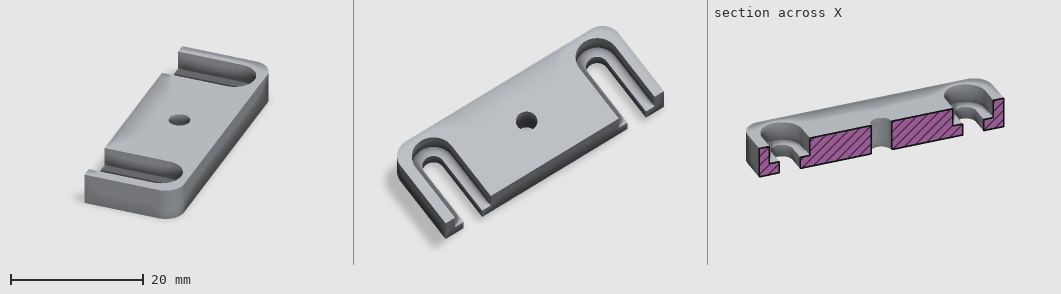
import cadquery as cq

width = 15.0
length = 40.0
thickness = 5.0
corner_radius = 3.0

slot_offset = 15.0
slot_end_center = 10.5 - width / 2
slot_width = 3.4
recess_width = 6.55
recess_depth = 3.0

hole_diameter = 3.3


def open_slot(center_y, slot_size, bottom_z):
    """Round-ended cutter from bottom_z to the top face, running out through the -X side."""
    height = thickness - bottom_z
    run = slot_end_center + width / 2
    straight = cq.Workplane("XY").box(run, slot_size, height, centered=(False, True, False))
    straight = straight.translate((-width / 2, center_y, bottom_z))
    round_end = cq.Workplane("XY").circle(slot_size / 2).extrude(height)
    return straight.union(round_end.translate((slot_end_center, center_y, bottom_z)))


result = cq.Workplane("XY").box(width, length, thickness, centered=(True, True, False))
result = result.edges("|Z and >X").fillet(corner_radius)

result = result.cut(cq.Workplane("XY").circle(hole_diameter / 2).extrude(thickness))

for slot_y in (-slot_offset, slot_offset):
    result = result.cut(open_slot(slot_y, slot_width, 0))
    result = result.cut(open_slot(slot_y, recess_width, thickness - recess_depth))